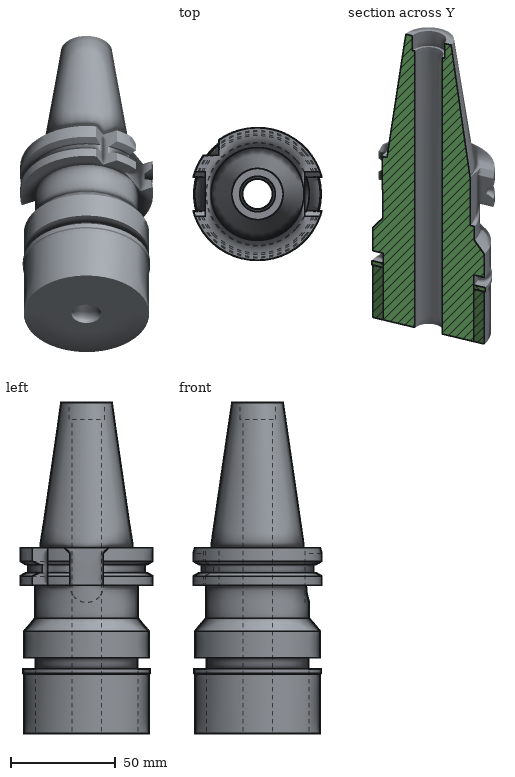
import cadquery as cq
import math

gauge_z = 90.0
taper_length = 68.4
top_z = gauge_z + taper_length
flange_top_z = gauge_z - 1.0
flange_bottom_z = gauge_z - 19.1
groove_z = gauge_z - 11.1
cone_top_z = 55.2
cone_bottom_z = 49.0
collar_bottom_z = 36.2
ring_top_z = 31.0
nut_top_z = 28.4

gauge_radius = 44.45 / 2
taper_ratio = 7 / 24
taper_tip_radius = gauge_radius - taper_length * taper_ratio / 2

flange_radius = 63.55 / 2
groove_root_radius = 56.25 / 2
groove_root_width = 3.75
groove_mouth_width = 7.07
groove_flank_angle = math.radians(30)
groove_flank_depth = (groove_mouth_width - groove_root_width) / 2 / math.tan(groove_flank_angle)

neck_radius = 49.5 / 2
collar_radius = 60.0 / 2
stem_radius = 49.0 / 2

slot_width = 16.1
slot_chamfer = 2.65
left_slot_floor = 25.0
right_slot_floor = 22.5

notch_x = 18.5
notch_y = 18.5

bore_radius = 14.3 / 2
counterbore_radius = 17.0 / 2
counterbore_depth = 8.0

ring_radius = 61.0 / 2
nut_radius = 60.0 / 2
ring_chamfer = ring_radius - nut_radius


def make_holder_blank():
    """Revolved holder: taper, flange with groove, neck, cone, collar and stem."""
    half_root = groove_root_width / 2
    half_mouth = groove_mouth_width / 2
    flank_radius = flange_radius - groove_flank_depth
    profile = [
        (0, 0),
        (stem_radius, 0),
        (stem_radius, collar_bottom_z),
        (collar_radius, collar_bottom_z),
        (collar_radius, cone_bottom_z),
        (neck_radius, cone_top_z),
        (neck_radius, flange_bottom_z),
        (flange_radius, flange_bottom_z),
        (flange_radius, groove_z - half_mouth),
        (flank_radius, groove_z - half_root),
        (groove_root_radius, groove_z - half_root),
        (groove_root_radius, groove_z + half_root),
        (flank_radius, groove_z + half_root),
        (flange_radius, groove_z + half_mouth),
        (flange_radius, flange_top_z),
        (gauge_radius, flange_top_z),
        (gauge_radius, gauge_z),
        (taper_tip_radius, top_z),
        (0, top_z),
    ]
    return cq.Workplane("XZ").polyline(profile).close().revolve(360, (0, 0, 0), (0, 1, 0))


def make_slot_cutter(floor_x, side):
    """Drive slot open outward and upward, with a round lower end and chamfered upper edges."""
    half_width = slot_width / 2
    chamfer_z = flange_top_z - slot_chamfer
    return (
        cq.Workplane("YZ", origin=(side * floor_x, 0, 0))
        .moveTo(-half_width, flange_bottom_z)
        .threePointArc((0, flange_bottom_z - half_width), (half_width, flange_bottom_z))
        .lineTo(half_width, chamfer_z)
        .lineTo(half_width + slot_chamfer, flange_top_z)
        .lineTo(-half_width - slot_chamfer, flange_top_z)
        .lineTo(-half_width, chamfer_z)
        .close()
        .extrude(side * (flange_radius - floor_x))
    )


def make_notch_cutter():
    """Square corner notch through the full flange thickness."""
    return cq.Workplane("XY").box(
        flange_radius - notch_x,
        flange_radius - notch_y,
        flange_top_z - flange_bottom_z,
        centered=False,
    ).translate((-flange_radius, notch_y, flange_bottom_z))


def make_bore_cutter():
    """Through bore with a counterbore at the small end of the taper."""
    bore = cq.Workplane("XY").circle(bore_radius).extrude(top_z)
    counterbore = (
        cq.Workplane("XY", origin=(0, 0, top_z - counterbore_depth))
        .circle(counterbore_radius)
        .extrude(counterbore_depth)
    )
    return bore.union(counterbore)


def make_sleeve(outer_radius, bottom_z, height):
    """Plain ring that fits around the stem of the holder."""
    return (
        cq.Workplane("XY", origin=(0, 0, bottom_z))
        .circle(outer_radius)
        .circle(stem_radius)
        .extrude(height)
    )


holder = (
    make_holder_blank()
    .cut(make_slot_cutter(left_slot_floor, -1))
    .cut(make_slot_cutter(right_slot_floor, 1))
    .cut(make_notch_cutter())
    .cut(make_bore_cutter())
)
retaining_ring = (
    make_sleeve(ring_radius, nut_top_z, ring_top_z - nut_top_z)
    .faces("<Z")
    .edges(cq.selectors.RadiusNthSelector(-1))
    .chamfer(ring_chamfer)
)
nut = make_sleeve(nut_radius, 0, nut_top_z)

result = cq.Compound.makeCompound([holder.solids().val(), retaining_ring.val(), nut.val()])